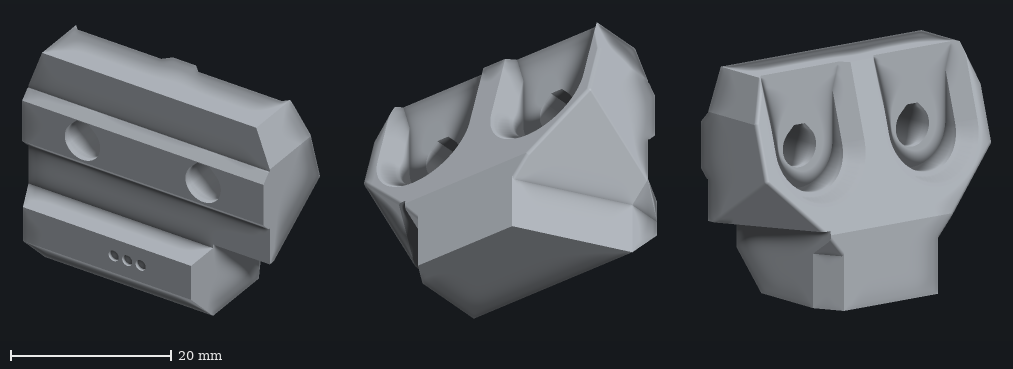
import cadquery as cq
import math

LENGTH = 36.0
HEIGHT = 30.0
DEPTH = 14.0
HALF_LENGTH = LENGTH / 2
CLEARANCE = 3.6

TOP_DEPTH = 8.05
BACK_SLOPE_START_Z = 10.0
END_TAPER_START_Z = 24.5
END_TAPER_INSET = 2.0
EDGE_RADIUS = 0.5
MIN_EDGE_RISE = 0.05

BOLT_Z = 20.0
RIDGE_HEIGHT = 1.45
RIDGE_LIP = 0.25
RIDGE_FACE_HALF_WIDTH = 3.0
RIDGE_BASE_HALF_WIDTH = RIDGE_FACE_HALF_WIDTH + RIDGE_HEIGHT - RIDGE_LIP

FOOT_REACH = 5.0
FOOT_TOP_Z = BACK_SLOPE_START_Z
FOOT_INSET = 2.45
FOOT_LEFT_X = -HALF_LENGTH + FOOT_INSET
FOOT_RIGHT_X = 9.55
RIGHT_STEP_Z = 10.5

WALL_ANGLE = 30.0
WALL_TOP_Z = 7.0
UNDERCUT_END_Z = 9.8
UNDERCUT_RISE = (UNDERCUT_END_Z - WALL_TOP_Z) / (FOOT_INSET * math.cos(math.radians(WALL_ANGLE)))

BOLT_SPACING = 18.0
BOLT_DIAMETER = 5.3
BOLT_ROOF_HEIGHT = 2.88
POCKET_RADIUS = 5.25
POCKET_FLOOR_Y = 7.0
POCKET_FLARE = 2.0
FLARE_OVERSHOOT = 0.35

DIMPLE_DIAMETER = 1.5
DIMPLE_PITCH = 2.0
DIMPLE_DEPTH = 0.5
DIMPLE_Z = 7.5


def extrude_along_x(points):
    """Extrude a (y, z) outline over the full length."""
    return cq.Workplane("YZ", origin=(-HALF_LENGTH, 0, 0)).polyline(points).close().extrude(LENGTH)


def extrude_along_y(points, start_y, end_y):
    """Extrude an (x, z) outline between two Y positions."""
    return cq.Workplane("XZ", origin=(0, end_y, 0)).polyline(points).close().extrude(end_y - start_y)


def make_block():
    """Sloped block with the front ridge and tapered upper ends."""
    section = extrude_along_x([
        (0, 0),
        (DEPTH, 0),
        (DEPTH, BACK_SLOPE_START_Z),
        (TOP_DEPTH, HEIGHT),
        (0, HEIGHT),
        (0, BOLT_Z + RIDGE_BASE_HALF_WIDTH),
        (-RIDGE_LIP, BOLT_Z + RIDGE_BASE_HALF_WIDTH),
        (-RIDGE_HEIGHT, BOLT_Z + RIDGE_FACE_HALF_WIDTH),
        (-RIDGE_HEIGHT, BOLT_Z - RIDGE_FACE_HALF_WIDTH),
        (-RIDGE_LIP, BOLT_Z - RIDGE_BASE_HALF_WIDTH),
        (0, BOLT_Z - RIDGE_BASE_HALF_WIDTH),
    ])
    top_half_length = HALF_LENGTH - END_TAPER_INSET
    outline = extrude_along_y([
        (-HALF_LENGTH, 0),
        (FOOT_RIGHT_X, 0),
        (FOOT_RIGHT_X, RIGHT_STEP_Z),
        (HALF_LENGTH, RIGHT_STEP_Z),
        (HALF_LENGTH, END_TAPER_START_Z),
        (top_half_length, HEIGHT),
        (-top_half_length, HEIGHT),
        (-HALF_LENGTH, END_TAPER_START_Z),
    ], -RIDGE_HEIGHT, DEPTH)
    return section.intersect(outline)


def make_left_undercut():
    """Cutter that clears the left end below the sloping undercut face."""
    angle = math.radians(WALL_ANGLE)
    along_wall = cq.Vector(math.sin(angle), math.cos(angle), 0)
    outward = cq.Vector(-math.cos(angle), math.sin(angle), 0)
    foot_corner = cq.Vector(FOOT_LEFT_X, 0, 0)
    plane = cq.Plane(origin=foot_corner - along_wall * DEPTH, xDir=outward, normal=along_wall)
    reach = DEPTH
    cut_length = 3 * DEPTH
    return (
        cq.Workplane(plane)
        .polyline([
            (0, -CLEARANCE),
            (0, WALL_TOP_Z),
            (reach, WALL_TOP_Z + reach * UNDERCUT_RISE),
            (reach, -CLEARANCE),
        ])
        .close()
        .extrude(cut_length)
    )


def round_rear_edges(body):
    """Round the rising edges around the back and along the undercut faces."""
    def is_rounded(edge):
        center = edge.Center()
        rises = edge.BoundingBox().zlen > MIN_EDGE_RISE
        behind_front = center.y > MIN_EDGE_RISE
        above_wall = center.z > WALL_TOP_Z
        beside_step = abs(center.x - FOOT_RIGHT_X) < MIN_EDGE_RISE
        return rises and behind_front and above_wall and not beside_step

    edges = [edge for edge in body.edges().vals() if is_rounded(edge)]
    return body.newObject(edges).fillet(EDGE_RADIUS)


def make_foot():
    """Foot with a sloping underside and a clipped upper left corner."""
    outline = extrude_along_y([
        (FOOT_LEFT_X, 0),
        (FOOT_LEFT_X, WALL_TOP_Z),
        (-HALF_LENGTH, UNDERCUT_END_Z),
        (-HALF_LENGTH, FOOT_TOP_Z),
        (FOOT_RIGHT_X, FOOT_TOP_Z),
        (FOOT_RIGHT_X, 0),
    ], -FOOT_REACH, 0)
    section = extrude_along_x([
        (0, 0),
        (-FOOT_REACH, FOOT_REACH),
        (-FOOT_REACH, FOOT_TOP_Z),
        (0, FOOT_TOP_Z),
    ])
    plan = (
        cq.Workplane("XY")
        .polyline([
            (-HALF_LENGTH, 0),
            (FOOT_LEFT_X, -FOOT_REACH),
            (FOOT_RIGHT_X, -FOOT_REACH),
            (FOOT_RIGHT_X, 0),
        ])
        .close()
        .extrude(FOOT_TOP_Z)
    )
    return outline.intersect(section).intersect(plan)


def make_bolt_hole(x):
    """Through hole with 45 degree shoulders under a flat roof, for one bolt."""
    hole_length = DEPTH + RIDGE_HEIGHT
    radius = BOLT_DIAMETER / 2
    tangent = radius * math.sqrt(0.5)
    roof_half_width = 2 * tangent - BOLT_ROOF_HEIGHT
    return (
        cq.Workplane("XZ", origin=(x, DEPTH, BOLT_Z))
        .moveTo(tangent, tangent)
        .lineTo(roof_half_width, BOLT_ROOF_HEIGHT)
        .lineTo(-roof_half_width, BOLT_ROOF_HEIGHT)
        .lineTo(-tangent, tangent)
        .threePointArc((0, -radius), (tangent, tangent))
        .close()
        .extrude(hole_length)
    )


def make_head_pocket(x):
    """Upward-open head pocket with its rim flared at the sloped back."""
    pocket_depth = DEPTH - POCKET_FLOOR_Y
    pocket_height = HEIGHT - BOLT_Z + CLEARANCE
    straight = (
        cq.Workplane("XZ", origin=(x, DEPTH, BOLT_Z))
        .moveTo(-POCKET_RADIUS, 0)
        .threePointArc((0, -POCKET_RADIUS), (POCKET_RADIUS, 0))
        .lineTo(POCKET_RADIUS, pocket_height)
        .lineTo(-POCKET_RADIUS, pocket_height)
        .close()
        .extrude(pocket_depth)
    )

    slope_run = DEPTH - TOP_DEPTH
    slope_rise = HEIGHT - BACK_SLOPE_START_Z
    slope_length = math.hypot(slope_run, slope_rise)
    back_y = DEPTH - slope_run * (BOLT_Z - BACK_SLOPE_START_Z) / slope_rise
    outward = cq.Vector(0, slope_rise, slope_run) / slope_length
    rim_y = back_y - POCKET_FLARE * slope_length / slope_rise
    rim_plane = cq.Plane(origin=(x, rim_y, BOLT_Z), xDir=(-1, 0, 0), normal=outward)
    end_length = POCKET_RADIUS * slope_length / slope_rise
    rim_height = 2 * pocket_height

    def rim_section(workplane, growth):
        half_width = POCKET_RADIUS + growth
        return (
            workplane
            .moveTo(half_width, 0)
            .lineTo(half_width, rim_height)
            .lineTo(-half_width, rim_height)
            .lineTo(-half_width, 0)
            .ellipseArc(half_width, end_length + growth, 180, 360, startAtCurrent=True)
            .close()
        )

    flare_depth = POCKET_FLARE + FLARE_OVERSHOOT
    flare = rim_section(cq.Workplane(rim_plane), 0).workplane(offset=flare_depth)
    flare = rim_section(flare, flare_depth).loft(ruled=True)
    behind_floor = (
        cq.Workplane("XY", origin=(x, POCKET_FLOOR_Y, BOLT_Z))
        .box(LENGTH, 2 * DEPTH, 2 * LENGTH, centered=(True, False, True))
    )
    return straight.union(flare.intersect(behind_floor))


def make_dimples():
    """Three shallow round dimples in the front of the foot."""
    positions = [(-DIMPLE_PITCH, 0), (0, 0), (DIMPLE_PITCH, 0)]
    return (
        cq.Workplane("XZ", origin=(0, -FOOT_REACH, DIMPLE_Z))
        .pushPoints(positions)
        .circle(DIMPLE_DIAMETER / 2)
        .extrude(-DIMPLE_DEPTH)
    )


left_undercut = make_left_undercut()
block = make_block().cut(left_undercut).cut(left_undercut.mirror("YZ"))
block = round_rear_edges(block)

result = block.union(make_foot())
for bolt_x in (-BOLT_SPACING / 2, BOLT_SPACING / 2):
    result = result.cut(make_bolt_hole(bolt_x)).cut(make_head_pocket(bolt_x))
result = result.cut(make_dimples())